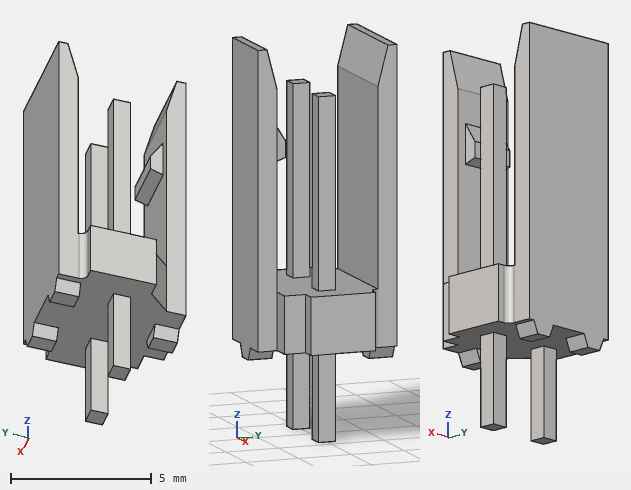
import cadquery as cq

total_height = 14.3
body_width = 5.08
body_depth = 5.0

pin_size = 0.65
pin_spacing = 2.55
pin_top_drop = 1.77

base_bottom = 3.37
base_height = 2.12
base_back_y = 1.49
base_front_y = -0.97
corner_fillet = 0.26

wall_thickness = 0.73
wall_top_thickness = 0.35
wall_bevel_height = 1.47
back_wall_width = 4.0
front_wall_width = 2.55

foot_height = 0.47
foot_depth = 0.9
foot_top_width = 1.0
foot_bottom_width = 0.59

latch_width = 1.77
latch_reach = 0.47
latch_bottom = 10.11
latch_face_bottom = 10.27
latch_face_top = 10.87
latch_top = 11.61

outer_y = body_depth / 2
wall_inner_y = outer_y - wall_thickness
pin_height = total_height - pin_top_drop
pin_x_positions = (-pin_spacing / 2, pin_spacing / 2)


def make_base():
    """Base block with one slanted front corner and filleted inner corners at the back."""
    side_x = body_width / 2
    back_x = back_wall_width / 2
    front_x = front_wall_width / 2
    outline = [
        (-side_x, base_front_y),
        (-back_x, base_front_y),
        (-front_x, -wall_inner_y),
        (back_x, -wall_inner_y),
        (back_x, base_front_y),
        (side_x, base_front_y),
        (side_x, base_back_y),
        (back_x, base_back_y),
        (back_x, outer_y),
        (-back_x, outer_y),
        (-back_x, base_back_y),
        (-side_x, base_back_y),
    ]
    base = (
        cq.Workplane("XY")
        .workplane(offset=base_bottom)
        .polyline(outline)
        .close()
        .extrude(base_height)
    )
    notch_points = [
        (-back_x, base_back_y, base_bottom + base_height / 2),
        (back_x, base_back_y, base_bottom + base_height / 2),
    ]
    for notch_point in notch_points:
        nearest_edge = cq.selectors.NearestToPointSelector(notch_point)
        base = base.edges("|Z").edges(nearest_edge).fillet(corner_fillet)
    return base


def extrude_side_profile(points, width):
    """Extrude a (y, z) profile symmetrically about the YZ plane."""
    return cq.Workplane("YZ").polyline(points).close().extrude(width / 2, both=True)


def make_wall(width, side):
    """Upright wall bevelled inside its top; side is +1 at the back and -1 at the front."""
    profile = [
        (side * outer_y, base_bottom),
        (side * outer_y, total_height),
        (side * (outer_y - wall_top_thickness), total_height),
        (side * wall_inner_y, total_height - wall_bevel_height),
        (side * wall_inner_y, base_bottom),
    ]
    return extrude_side_profile(profile, width)


def make_latch():
    """Latch bump on the inner face of the front wall."""
    root_y = wall_top_thickness - outer_y
    face_y = latch_reach - wall_inner_y
    profile = [
        (root_y, latch_bottom),
        (-wall_inner_y, latch_bottom),
        (face_y, latch_face_bottom),
        (face_y, latch_face_top),
        (-wall_inner_y, latch_top),
        (root_y, latch_top),
    ]
    return extrude_side_profile(profile, latch_width)


def make_pin(x):
    """Square pin passing through the base."""
    return (
        cq.Workplane("XY")
        .center(x, 0)
        .rect(pin_size, pin_size)
        .extrude(pin_height)
    )


def make_foot(x, back_y):
    """Tapered standoff foot below the base, reaching forward from back_y."""
    foot_bottom = base_bottom - foot_height
    profile = [
        (x - foot_top_width / 2, base_bottom),
        (x + foot_top_width / 2, base_bottom),
        (x + foot_bottom_width / 2, foot_bottom),
        (x - foot_bottom_width / 2, foot_bottom),
    ]
    return (
        cq.Workplane("XZ", origin=(0, back_y, 0))
        .polyline(profile)
        .close()
        .extrude(foot_depth)
    )


result = (
    make_base()
    .union(make_wall(back_wall_width, 1))
    .union(make_wall(front_wall_width, -1))
    .union(make_latch())
    .union(make_foot(0, foot_depth - outer_y))
)
for pin_x in pin_x_positions:
    result = result.union(make_pin(pin_x)).union(make_foot(pin_x, outer_y))